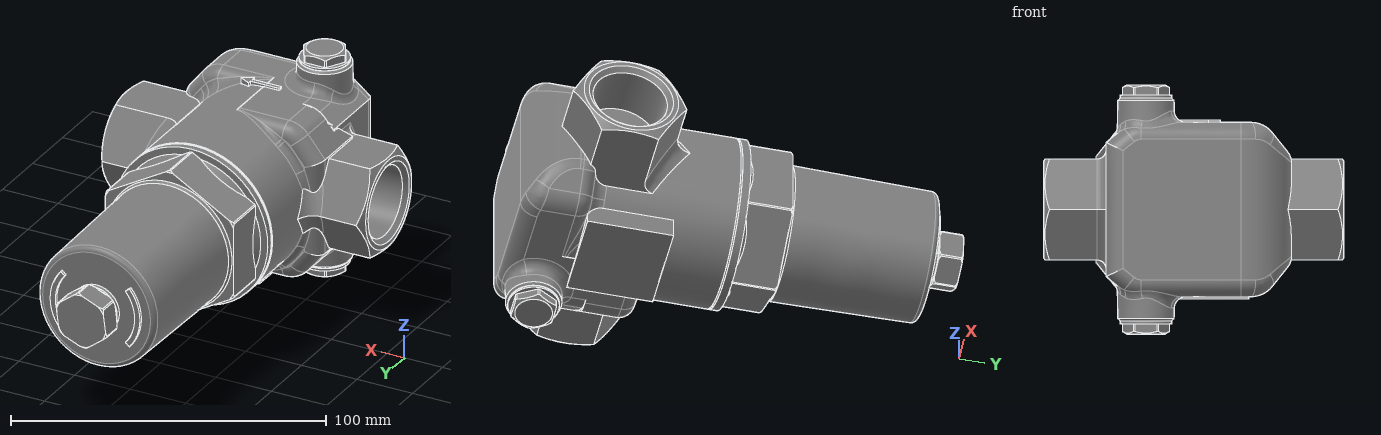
import cadquery as cq
import math


body_dia = 55.0
body_radius = body_dia / 2
body_bottom = -28.5
body_top = 43.5
flange_height = 2.6
groove_width = 0.6
groove_depth = 0.5

housing_half_height = 27.7
housing_edge_radius = 5.4
inlet_wall = 27.8
inlet_block_top = 0.0
inlet_chamfer_x = 8.0
inlet_chamfer_z = 6.4
inlet_chamfer_radius = 8.7

bulge_reach = 31.0
bulge_side_half_height = 16.7
bulge_flat_half_width = 22.3
bulge_slope_radius = 8.7
bulge_edge_radius = 4.8
inlet_bulge_top = 16.6
inlet_bulge_bottom = -6.5
inlet_underside_start = 25.8
outlet_bulge_top = -6.7
outlet_corner_radius = 16.0
inlet_bulge_root_radius = 2.2
outlet_bulge_root_radius = 4.8

port_across_flats = 32.0
port_reach = 95.0 / 2
port_face_dia = 30.7
port_chamfer_angle = 30.0
port_bore_dia = 24.2
port_bore_mouth_dia = 27.4
port_bore_depth = 17.5
port_flare_radius = 5.8
port_flare_inset = 0.1
port_wall_radius = 2.8

plug_x = -15.1
plug_y = -17.3
boss_axis_dia = 19.2
boss_top_dia = 17.9
boss_top = 35.4
boss_edge_chamfer = 0.9
boss_root_radius = 3.6
washer_dia = 16.5
washer_top = 36.2
plug_across_flats = 13.2
plug_corner_dia = 15.0
plug_top = 79.0 / 2
plug_face_dia = 12.0
plug_chamfer_height = 0.9

nut_across_flats = 46.1
nut_corner_dia = 53.0
nut_top = 58.2
nut_skirt_dia = 50.0
nut_skirt_height = 1.7
nut_top_chamfer = 0.6

cap_root_dia = 43.8
cap_top_dia = 42.2
cap_collar_dia = 45.1
cap_collar_top = 59.3
cap_top = 106.7
cap_edge_radius = 1.7

neck_dia = 15.0
neck_collar_dia = 16.5
neck_collar_top = 108.2
screw_head_bottom = 109.3
screw_head_top = 117.0
screw_across_flats = 17.0
screw_corner_dia = 19.4
screw_turn = 7.5
screw_edge_chamfer = 0.6

arc_outer_radius = 16.2
arc_inner_radius = 14.3
arc_half_angle = 40.0
arc_top = 107.7

arrow_y = -5.2
arrow_tail = -5.7
arrow_neck = 4.7
arrow_tip = 8.5
arrow_shaft_width = 1.5
arrow_head_width = 4.1
mark_top = 28.4
pad_left = -12.1
pad_right = 17.5
pad_bottom = -7.3
pad_end = 20.7
mark_root = 17.5

seam_turn = 40.0
near = 0.1
far = 145.6


def cylinder_y(dia, y_start, y_end):
    return cq.Workplane("XZ", origin=(0, y_start, 0)).circle(dia / 2).extrude(y_start - y_end)


def turn_seam(solid):
    return solid.rotate((0, 0, 0), (0, 1, 0), -seam_turn)


def cone_y(dia_start, dia_end, y_start, y_end):
    return (
        cq.Workplane("XY")
        .moveTo(0, y_start)
        .lineTo(dia_start / 2, y_start)
        .lineTo(dia_end / 2, y_end)
        .lineTo(0, y_end)
        .close()
        .revolve(360, (0, 0, 0), (0, 1, 0))
    )


def hexagon(plane, across_flats, turn):
    """Sketch a hexagon whose first corner is turned from the local x axis."""
    corner_circle = across_flats / math.cos(math.radians(30))
    return plane.transformed(rotate=(0, 0, turn)).polygon(6, corner_circle)


def box_between(x0, x1, y0, y1, z0, z1):
    return cq.Workplane("XY").box(x1 - x0, y1 - y0, z1 - z0, centered=False).translate((x0, y0, z0))


def round_inside(solid, low, high, radius):
    """Round the edges that lie wholly inside a box."""
    return solid.edges(cq.selectors.BoxSelector(low, high, boundingbox=True)).fillet(radius)


def make_body():
    body = turn_seam(cylinder_y(body_dia, body_bottom + 2 * housing_edge_radius, body_top))
    groove_top = body_top - flange_height
    ring = cylinder_y(body_dia + 1.5, groove_top - groove_width, groove_top)
    ring = ring.cut(cylinder_y(body_dia - 2 * groove_depth, groove_top - groove_width, groove_top))
    return body.cut(ring)


def section_prism(points, y_start, y_end):
    """Extrude an X-Z half section, mirrored about Z = 0, along Y."""
    outline = points + [(x, -z) for x, z in reversed(points)]
    return cq.Workplane("XZ", origin=(0, y_start, 0)).polyline(outline).close().extrude(y_start - y_end)


def bulge_section(side):
    return [
        (0, housing_half_height),
        (side * bulge_flat_half_width, housing_half_height),
        (side * bulge_reach, bulge_side_half_height),
    ]


def round_slope(prism, x, radius):
    """Round the two long edges at the given X, where the flats turn into the slopes."""
    return prism.edges("|Y").edges(
        cq.selectors.BoxSelector((x - near, -far, -far), (x + near, far, far))
    ).fillet(radius)


def make_inlet_bulge():
    bulge = section_prism(bulge_section(-1), inlet_bulge_bottom, inlet_bulge_top)
    underside = (
        cq.Workplane("XY", origin=(0, 0, -housing_half_height))
        .polyline([
            (0, inlet_bulge_bottom),
            (-bulge_reach, inlet_bulge_bottom),
            (-inlet_underside_start, inlet_block_top),
            (0, inlet_block_top),
        ])
        .close()
        .extrude(2 * housing_half_height)
    )
    bulge = bulge.cut(underside)
    bulge = round_slope(bulge, -bulge_flat_half_width, bulge_slope_radius)
    return bulge.faces(">Y").edges("not(>X)").fillet(bulge_edge_radius)


def make_housing():
    """Lower housing: inlet block on the left, lower outlet bulge with a round corner on the right."""
    section = [
        (-inlet_wall, housing_half_height - inlet_chamfer_z),
        (inlet_chamfer_x - inlet_wall, housing_half_height),
        (bulge_flat_half_width, housing_half_height),
        (bulge_reach, bulge_side_half_height),
    ]
    housing = section_prism(section, body_bottom, inlet_block_top)
    housing = round_slope(housing, inlet_chamfer_x - inlet_wall, inlet_chamfer_radius)
    housing = round_slope(housing, bulge_flat_half_width, bulge_slope_radius)

    housing = housing.cut(box_between(0, far, outlet_bulge_top, far, -far, far))
    housing = round_inside(
        housing,
        (near, outlet_bulge_top - near, -far),
        (far, outlet_bulge_top + near, far),
        bulge_edge_radius,
    )

    corner = box_between(-far, bulge_reach, body_bottom, far, -far, far)
    corner = corner.edges(">X and <Y").fillet(outlet_corner_radius)
    housing = housing.intersect(corner)
    return housing.faces("<Y").edges("not(>X)").fillet(housing_edge_radius)


def make_port(side):
    """Hexagonal port with a chamfered end."""
    plane = cq.Workplane("YZ")
    port = hexagon(plane, port_across_flats, 0).extrude(side * port_reach)
    corner_radius = port_across_flats / 2 / math.cos(math.radians(30))
    chamfer_rise = corner_radius - port_face_dia / 2
    chamfer_length = chamfer_rise * math.tan(math.radians(port_chamfer_angle))
    envelope = (
        cq.Workplane("XY")
        .polyline([
            (0, 0),
            (0, corner_radius),
            (side * (port_reach - chamfer_length), corner_radius),
            (side * port_reach, port_face_dia / 2),
            (side * port_reach, 0),
        ])
        .close()
        .revolve(360, (0, 0, 0), (1, 0, 0))
    )
    return port.intersect(envelope)


def make_ports():
    """Both ports on a hidden core, with the corner that meets the upper body flared."""
    core = turn_seam(cylinder_y(body_dia - 2 * port_flare_inset, 0, body_top - nut_skirt_height))
    ports = core.union(make_port(-1)).union(make_port(1))
    half_height = port_across_flats / 2 + near
    quarter_corner = port_across_flats / 2 * math.tan(math.radians(30))
    return round_inside(
        ports,
        (-body_radius - near, quarter_corner - near, -half_height),
        (body_radius + near, 2 * quarter_corner + near, half_height),
        port_flare_radius,
    )


def make_port_bore(side):
    """Blind bore with a 45 degree mouth."""
    mouth_depth = (port_bore_mouth_dia - port_bore_dia) / 2
    return (
        cq.Workplane("XY")
        .polyline([
            (side * port_reach, 0),
            (side * port_reach, port_bore_mouth_dia / 2),
            (side * (port_reach - mouth_depth), port_bore_dia / 2),
            (side * (port_reach - port_bore_depth), port_bore_dia / 2),
            (side * (port_reach - port_bore_depth), 0),
        ])
        .close()
        .revolve(360, (0, 0, 0), (1, 0, 0))
    )


def make_boss():
    """Slightly tapered boss, above the port axis."""
    return (
        cq.Workplane("XZ", origin=(plug_x, plug_y, 0))
        .polyline([
            (0, 0),
            (boss_axis_dia / 2, 0),
            (boss_top_dia / 2, boss_top - boss_edge_chamfer),
            (boss_top_dia / 2 - boss_edge_chamfer, boss_top),
            (0, boss_top),
        ])
        .close()
        .revolve(360, (0, 0, 0), (0, 1, 0))
    )


def round_boss_roots(solid):
    """Round the edges where the two bosses leave the housing."""
    taper = (boss_axis_dia - boss_top_dia) / 2 / (boss_top - boss_edge_chamfer)

    def on_boss_root(edge):
        for point in edge.positions([0, 0.25, 0.5, 0.75, 1]):
            height = abs(point.z)
            distance = math.hypot(point.x - plug_x, point.y - plug_y)
            if abs(distance - boss_axis_dia / 2 + taper * height) > near / 2:
                return False
            if height > housing_half_height + near:
                return False
        return True

    root_edges = [edge for edge in solid.edges().vals() if on_boss_root(edge)]
    return solid.newObject(root_edges).fillet(boss_root_radius)


def make_plug():
    washer = (
        cq.Workplane("XY", origin=(plug_x, plug_y, boss_top))
        .circle(washer_dia / 2)
        .extrude(washer_top - boss_top)
    )
    plane = cq.Workplane("XY", origin=(plug_x, plug_y, washer_top))
    head_height = plug_top - washer_top
    head = hexagon(plane, plug_across_flats, 0).extrude(head_height)
    limit = plane.circle(plug_corner_dia / 2).extrude(head_height)
    limit = limit.faces(">Z").chamfer(plug_chamfer_height, (plug_corner_dia - plug_face_dia) / 2)
    head = head.intersect(limit)
    return washer.union(head)


def mirror_below(solid):
    return solid.union(solid.mirror("XY"))


def make_nut():
    plane = cq.Workplane("XZ", origin=(0, body_top, 0))
    nut = hexagon(plane, nut_across_flats, 90).extrude(body_top - nut_top)
    limit = cylinder_y(nut_corner_dia, body_top, nut_top).faces(">Y").chamfer(nut_top_chamfer)
    skirt = cone_y(nut_skirt_dia, nut_across_flats, body_top, body_top + nut_skirt_height)
    return nut.intersect(limit).union(skirt)


def make_cap():
    cap = cone_y(cap_root_dia, cap_top_dia, nut_top, cap_top).faces(">Y").edges().fillet(cap_edge_radius)
    collar = cone_y(cap_collar_dia, cap_root_dia, nut_top, cap_collar_top)
    return cap.union(collar)


def make_adjusting_screw():
    neck = cylinder_y(neck_dia, cap_top, screw_head_bottom)
    neck_collar = cylinder_y(neck_collar_dia, cap_top, neck_collar_top)
    plane = cq.Workplane("XZ", origin=(0, screw_head_bottom, 0))
    head = hexagon(plane, screw_across_flats, 90 - screw_turn).extrude(screw_head_bottom - screw_head_top)
    limit = cylinder_y(screw_corner_dia, screw_head_bottom, screw_head_top)
    limit = limit.faces("<Y or >Y").chamfer(screw_edge_chamfer)
    return neck.union(neck_collar).union(head.intersect(limit))


def make_arc_mark(side):
    def point(radius, degrees):
        angle = math.radians(degrees)
        return (side * radius * math.cos(angle), radius * math.sin(angle))

    return (
        cq.Workplane("XZ", origin=(0, cap_top, 0))
        .moveTo(*point(arc_inner_radius, -arc_half_angle))
        .lineTo(*point(arc_outer_radius, -arc_half_angle))
        .threePointArc(point(arc_outer_radius, 0), point(arc_outer_radius, arc_half_angle))
        .lineTo(*point(arc_inner_radius, arc_half_angle))
        .threePointArc(point(arc_inner_radius, 0), point(arc_inner_radius, -arc_half_angle))
        .close()
        .extrude(cap_top - arc_top)
    )


def make_flow_arrow():
    half_shaft = arrow_shaft_width / 2
    half_head = arrow_head_width / 2
    return (
        cq.Workplane("XY", origin=(0, arrow_y, mark_root))
        .polyline([
            (arrow_tail, -half_shaft),
            (arrow_neck, -half_shaft),
            (arrow_neck, -half_head),
            (arrow_tip, 0),
            (arrow_neck, half_head),
            (arrow_neck, half_shaft),
            (arrow_tail, half_shaft),
        ])
        .close()
        .extrude(mark_top - mark_root)
    )


result = make_body().union(make_housing())
result = round_inside(
    result,
    (body_radius / 2, outlet_bulge_top - near, -far),
    (body_radius + near, outlet_bulge_top + near, far),
    outlet_bulge_root_radius,
)
result = result.union(mirror_below(make_boss()))
result = round_boss_roots(result)

result = result.union(make_inlet_bulge())
result = round_inside(
    result,
    (-body_radius - 1.5, inlet_bulge_top - bulge_edge_radius, -body_radius - near),
    (-body_radius / 2, inlet_bulge_top + near, body_radius + near),
    inlet_bulge_root_radius,
)

result = result.union(make_ports())
result = round_inside(
    result,
    (-inlet_wall - near, -port_across_flats, -port_across_flats / 2 - near),
    (-inlet_wall + near, inlet_block_top, port_across_flats / 2 + near),
    port_wall_radius,
)
for port_side in (-1, 1):
    result = result.cut(make_port_bore(port_side))

result = result.union(box_between(pad_left, pad_right, pad_bottom, pad_end, -mark_top, -mark_root))
result = result.union(make_flow_arrow())

result = result.union(mirror_below(make_plug()))
result = result.union(make_nut()).union(make_cap()).union(make_adjusting_screw())
for mark_side in (-1, 1):
    result = result.union(make_arc_mark(mark_side))